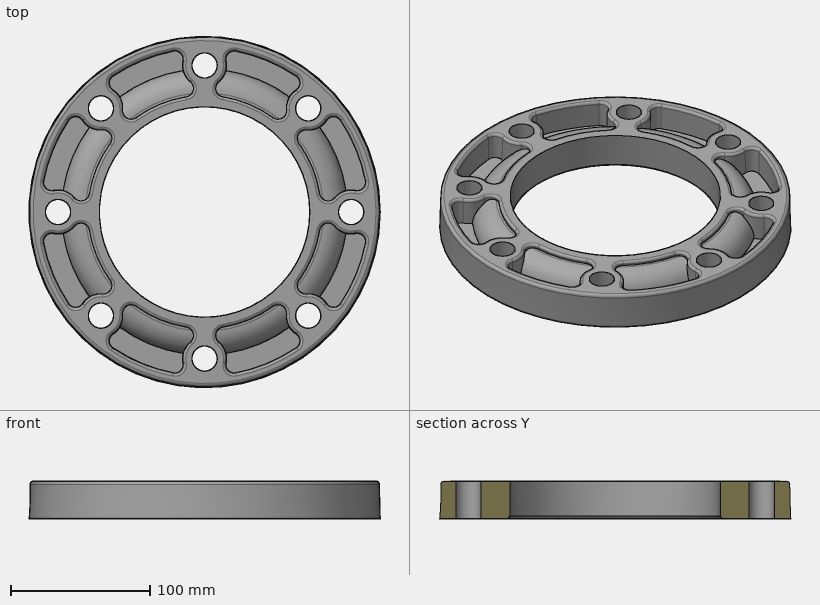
import cadquery as cq
import math

outer_radius = 126.0
bore_radius = 75.3
bore_chamfer = 2.0
height = 27.2
rim_draft = 1.5
rim_fillet = 2.4
base_band_height = 0.8

hole_count = 8
hole_diameter = 18.0
bolt_circle_radius = 105.0
hole_pitch = 360.0 / hole_count

floor_height = 7.0
pocket_outer_radius = 117.3
pocket_inner_radius = 83.8
collar_radius = 15.9
corner_radius = 5.8
pocket_draft = 1.0
pocket_lip_fillet = 2.0

shoulder_top_radius = 85.4
shoulder_round = 17.0


def polar(radius, angle):
    """Point at a radius and an angle in radians."""
    return (radius * math.cos(angle), radius * math.sin(angle))


def toward(start, end, distance):
    """Point at a distance from start in the direction of end."""
    length = math.dist(start, end)
    return tuple(a + (b - a) * distance / length for a, b in zip(start, end))


def mirrored(point):
    """Point reflected across the X axis."""
    return (point[0], -point[1])


def arc_middle(center, start, end, radius):
    """Point halfway along the short arc from start to end."""
    chord_middle = ((start[0] + end[0]) / 2, (start[1] + end[1]) / 2)
    return toward(center, chord_middle, radius)


def ring_body():
    """Turned ring with a drafted, rounded rim and a chamfered bore."""
    draft_inset = (height - base_band_height) * math.tan(math.radians(rim_draft))
    ring = (
        cq.Workplane("XZ")
        .moveTo(bore_radius + bore_chamfer, 0)
        .lineTo(outer_radius, 0)
        .lineTo(outer_radius, base_band_height)
        .lineTo(outer_radius - draft_inset, height)
        .lineTo(bore_radius, height)
        .lineTo(bore_radius, bore_chamfer)
        .close()
        .revolve(360, (0, 0, 0), (0, 1, 0))
    )
    return ring.faces(">Z").edges(cq.selectors.RadiusNthSelector(-1)).fillet(rim_fillet)


def pocket_wire(level, spread):
    """Outline of tangent arcs, symmetric about +X, at a level and spread outward from the floor outline."""
    outer = pocket_outer_radius + spread
    inner = pocket_inner_radius - spread
    collar = collar_radius - spread
    corner = corner_radius + spread

    hole_angle = math.radians(hole_pitch / 2)
    hole_center = polar(bolt_circle_radius, hole_angle)

    def corner_center(radius):
        """Center of the corner arc that touches the collar, at a radius from the ring axis."""
        squares = bolt_circle_radius**2 + radius**2 - (collar + corner) ** 2
        angle_from_hole = math.acos(squares / (2 * bolt_circle_radius * radius))
        return polar(radius, hole_angle - angle_from_hole)

    outer_corner = corner_center(outer - corner)
    inner_corner = corner_center(inner + corner)

    outer_end = toward((0, 0), outer_corner, outer)
    inner_end = toward((0, 0), inner_corner, inner)
    collar_outer_end = toward(hole_center, outer_corner, collar)
    collar_inner_end = toward(hole_center, inner_corner, collar)

    outer_corner_middle = arc_middle(outer_corner, outer_end, collar_outer_end, corner)
    collar_middle = arc_middle(hole_center, collar_outer_end, collar_inner_end, collar)
    inner_corner_middle = arc_middle(inner_corner, collar_inner_end, inner_end, corner)

    outline = (
        cq.Workplane("XY", origin=(0, 0, level))
        .moveTo(*mirrored(outer_end))
        .threePointArc((outer, 0), outer_end)
        .threePointArc(outer_corner_middle, collar_outer_end)
        .threePointArc(collar_middle, collar_inner_end)
        .threePointArc(inner_corner_middle, inner_end)
        .threePointArc((inner, 0), mirrored(inner_end))
        .threePointArc(mirrored(inner_corner_middle), mirrored(collar_inner_end))
        .threePointArc(mirrored(collar_middle), mirrored(collar_outer_end))
        .threePointArc(mirrored(outer_corner_middle), mirrored(outer_end))
        .close()
    )
    return outline.val()


def shoulder_ring():
    """Ring with a quarter-round section that falls from a narrow ledge to the pocket floor."""
    shoulder_top = floor_height + shoulder_round
    diagonal = shoulder_round * math.sqrt(0.5)
    return (
        cq.Workplane("XZ")
        .moveTo(bore_radius, floor_height)
        .lineTo(shoulder_top_radius + shoulder_round, floor_height)
        .threePointArc(
            (shoulder_top_radius + diagonal, floor_height + diagonal),
            (shoulder_top_radius, shoulder_top),
        )
        .lineTo(bore_radius, shoulder_top)
        .close()
        .revolve(360, (0, 0, 0), (0, 1, 0))
    )


def pocket_cutter():
    """Drafted pocket with the shoulder left standing along its inner side."""
    top_spread = (height - floor_height) * math.tan(math.radians(pocket_draft))
    wires = [pocket_wire(floor_height, 0), pocket_wire(height, top_spread)]
    pocket = cq.Workplane(cq.Solid.makeLoft(wires, ruled=True))
    return pocket.cut(shoulder_ring())


def round_pocket_lips(body):
    """Round the top edge of each pocket; the round openings have single-edge wires and stay sharp."""
    lip_edges = []
    for wire in body.faces(">Z").val().innerWires():
        if len(wire.Edges()) > 1:
            lip_edges.extend(wire.Edges())
    return body.newObject(lip_edges).fillet(pocket_lip_fillet)


result = ring_body()
cutter = pocket_cutter()
for index in range(hole_count):
    result = result.cut(cutter.rotate((0, 0, 0), (0, 0, 1), (index + 0.5) * hole_pitch))
result = round_pocket_lips(result)

bolt_holes = (
    cq.Workplane("XY")
    .polarArray(bolt_circle_radius, 0, 360, hole_count)
    .circle(hole_diameter / 2)
    .extrude(height)
)
result = result.cut(bolt_holes)